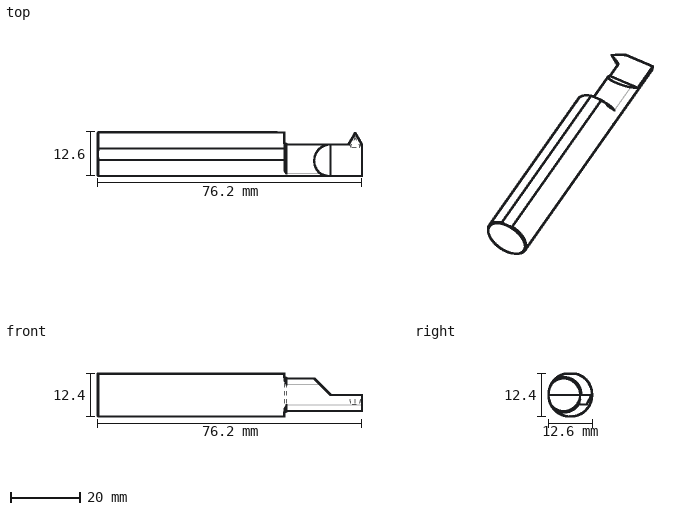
import cadquery as cq
import math

total_length = 76.2
shank_radius = 6.3
shank_length = 53.8
shank_flat_height = 6.1
rear_chamfer = 0.3

neck_radius = 4.7
neck_offset = -1.9
root_flare_length = 0.7
root_flare_height = 0.4

cutting_face_start = 67.1
runout_angle = 45.0

tooth_tip_x = 74.2
tooth_tip_y = 6.2
tooth_angle = 60.0
tooth_depth = 2.75
tooth_clearance = 15.0


def make_shank():
    """Round bar with a chamfered rear end and a flat along its top."""
    bar = cq.Workplane("YZ").circle(shank_radius).extrude(shank_length)
    bar = bar.faces("<X").chamfer(rear_chamfer)
    size = 2 * shank_radius
    flat = cq.Workplane("XY").box(shank_length, size, size, centered=(False, True, False))
    return bar.cut(flat.translate((0, 0, shank_flat_height)))


def make_neck():
    """Offset neck with a conical flare at its root, kept inside the shank's cylinder."""
    flare_end = shank_length + root_flare_length
    profile = [
        (0, 0),
        (0, neck_radius),
        (shank_length, neck_radius),
        (shank_length, neck_radius + root_flare_height),
        (flare_end, neck_radius),
        (total_length, neck_radius),
        (total_length, 0),
    ]
    neck = cq.Workplane("XY").polyline(profile).close().revolve(360, (0, 0, 0), (1, 0, 0))
    neck = neck.translate((0, neck_offset, 0))
    envelope = (
        cq.Workplane("YZ", origin=(shank_length, 0, 0))
        .circle(shank_radius)
        .extrude(total_length - shank_length)
    )
    return neck.intersect(envelope)


def make_runout():
    """Material removed above the cutting face, with the sloping run-out at its rear."""
    rise = shank_radius
    slope_top = cutting_face_start - rise / math.tan(math.radians(runout_angle))
    profile = [
        (cutting_face_start, 0),
        (slope_top, rise),
        (total_length, rise),
        (total_length, 0),
    ]
    return cq.Workplane("XZ").polyline(profile).close().extrude(shank_radius, both=True)


def make_tooth():
    """Pointed tooth on the +Y side, its top level with the cutting face."""
    base_y = neck_offset + neck_radius
    half_width = (tooth_tip_y - base_y) * math.tan(math.radians(tooth_angle / 2))
    left = tooth_tip_x - half_width
    right = tooth_tip_x + half_width
    outline = [
        (tooth_tip_x, tooth_tip_y),
        (left, base_y),
        (left, neck_offset),
        (right, neck_offset),
        (right, base_y),
    ]
    return cq.Workplane("XY").polyline(outline).close().extrude(-tooth_depth, taper=tooth_clearance)


result = make_shank().union(make_neck().cut(make_runout())).union(make_tooth())